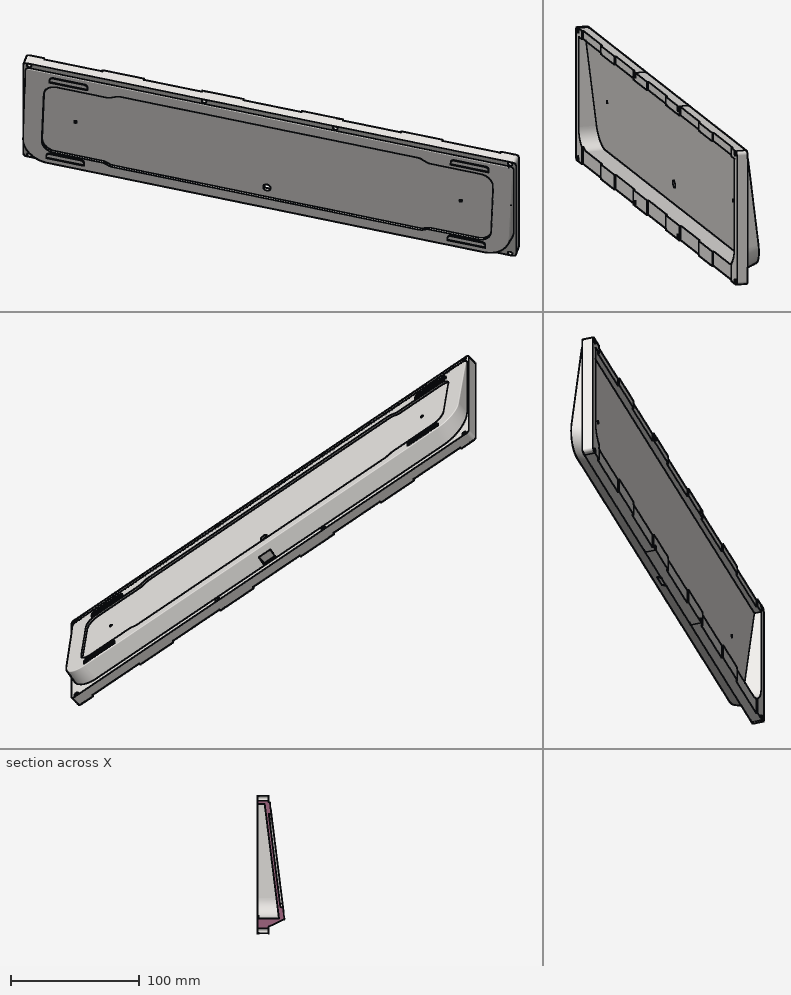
import cadquery as cq
import math

LENGTH = 396.5
DEPTH = 21.0
HEIGHT = 107.0

RIM_DEPTH = 8.7
RIM_CORNER_RADIUS = 2.8

BODY_SIDE_INSET = 1.8
BODY_TOP_INSET = 5.0
BODY_BOTTOM_INSET = 5.0
BODY_TOP_RADIUS = 3.5
BODY_BOTTOM_RADIUS = 23.5
SIDE_DRAFT = 0.8
BOTTOM_DRAFT = 6.0
FACE_SLOPE = 0.125
FACE_EDGE_RADIUS = 0.8

CAVITY_INSET = 6.7
CAVITY_BOTTOM_INSET = 12.0
CAVITY_RADIUS = 16.0
FLOOR_THICKNESS = 2.5

RECESS_DEPTH = 2.0
RECESS_HALF_LENGTH = 180.7
RECESS_END_TOP = 35.5
RECESS_END_BOTTOM = -30.5
RECESS_TOP_STEP = 3.5
RECESS_BOTTOM_STEP = 2.5
RECESS_TOP_STEP_X = 125.0
RECESS_BOTTOM_STEP_X = 127.5
RECESS_RADIUS = 10.5
RECESS_STEP_RADIUS = 8.0

FOOT_LENGTH = 30.5
FOOT_HEIGHT = 4.8
FOOT_RADIUS = 2.8
FOOT_DEPTH = 0.8
FOOT_CENTRE_X = 161.5
FOOT_CENTRES_Z = (41.2, -35.3)

SCREW_DIAMETER = 3.7
SCREW_EDGE_Z = 2.18
SCREW_EDGE_X = 4.8
SCREW_INNER_X = 52.7

CENTRE_HOLE_DIAMETER = 6.0
CENTRE_HOLE_Z = -23.8
PIN_HOLE_DIAMETER = 2.05
PIN_HOLE_X = 155.0
PIN_HOLE_Z = 2.8

SLOT_LENGTH = 11.5
SLOT_HEIGHT = 2.8
SLOT_CENTRE_Z = -46.5

GAP_PITCH = 80.0
GAP_LENGTH = 46.8
GAP_DEPTH = 1.0
GAPS_PER_SIDE = 2

HALF_LENGTH = LENGTH / 2
HALF_HEIGHT = HEIGHT / 2
BODY_TOP = HALF_HEIGHT - BODY_TOP_INSET
BODY_BOTTOM = BODY_BOTTOM_INSET - HALF_HEIGHT
NOSE_Z = BODY_BOTTOM + BOTTOM_DRAFT
FACE_STRETCH = math.hypot(1, FACE_SLOPE)

FACE_TILT = math.atan(FACE_SLOPE)
BOTTOM_TILT = math.atan2(DEPTH - RIM_DEPTH, BOTTOM_DRAFT)
EDGE_SETBACK = FACE_EDGE_RADIUS * math.tan((FACE_TILT + BOTTOM_TILT) / 2)
NOSE_DEPTH = DEPTH + EDGE_SETBACK * math.sin(FACE_TILT) - FACE_EDGE_RADIUS * (1 - math.cos(FACE_TILT))


def facing_front(y):
    """Workplane at the given Y, with local axes along X and Z and its normal along -Y."""
    return cq.Workplane("XZ", origin=(0, y, 0))


def behind_face(offset):
    """Everything behind the sloped face moved inward by the given distance."""
    def face_y(z):
        return -NOSE_DEPTH + FACE_SLOPE * (z - NOSE_Z) + offset * FACE_STRETCH

    corners = [
        (face_y(-HEIGHT), -HEIGHT),
        (face_y(HEIGHT), HEIGHT),
        (HEIGHT, HEIGHT),
        (HEIGHT, -HEIGHT),
    ]
    return cq.Workplane("YZ").polyline(corners).close().extrude(HALF_LENGTH, both=True)


def from_face(cutter, depth):
    """The part of a cutter that reaches the given depth below the sloped face."""
    return cutter.cut(behind_face(depth))


def body_outline(plane, half_length, top, bottom, bottom_radius):
    """Rectangle with small round top corners and large round bottom corners."""
    corner = math.sqrt(0.5)
    small_cut = BODY_TOP_RADIUS * (1 - corner)
    large_cut = bottom_radius * (1 - corner)
    return (
        plane.moveTo(BODY_TOP_RADIUS - half_length, top)
        .lineTo(half_length - BODY_TOP_RADIUS, top)
        .threePointArc((half_length - small_cut, top - small_cut), (half_length, top - BODY_TOP_RADIUS))
        .lineTo(half_length, bottom + bottom_radius)
        .threePointArc((half_length - large_cut, bottom + large_cut), (half_length - bottom_radius, bottom))
        .lineTo(bottom_radius - half_length, bottom)
        .threePointArc((large_cut - half_length, bottom + large_cut), (-half_length, bottom + bottom_radius))
        .lineTo(-half_length, top - BODY_TOP_RADIUS)
        .threePointArc((small_cut - half_length, top - small_cut), (BODY_TOP_RADIUS - half_length, top))
        .close()
    )


def make_rim():
    rim = facing_front(0).rect(LENGTH, HEIGHT).extrude(RIM_DEPTH)
    return rim.edges("|Y").fillet(RIM_CORNER_RADIUS)


def make_body():
    base_half_length = HALF_LENGTH - BODY_SIDE_INSET
    base = body_outline(facing_front(-RIM_DEPTH), base_half_length, BODY_TOP, BODY_BOTTOM, BODY_BOTTOM_RADIUS)
    drafted = body_outline(
        base.workplane(offset=NOSE_DEPTH - RIM_DEPTH),
        base_half_length - SIDE_DRAFT,
        BODY_TOP - SIDE_DRAFT,
        NOSE_Z,
        BODY_BOTTOM_RADIUS - (SIDE_DRAFT + BOTTOM_DRAFT) / 2,
    )
    wedge = drafted.loft(ruled=True).intersect(behind_face(0))
    return wedge.faces("<Y").edges().fillet(FACE_EDGE_RADIUS)


def make_cavity():
    height = HEIGHT - CAVITY_INSET - CAVITY_BOTTOM_INSET
    centre_z = (CAVITY_BOTTOM_INSET - CAVITY_INSET) / 2
    block = facing_front(0).center(0, centre_z).rect(LENGTH - 2 * CAVITY_INSET, height).extrude(DEPTH)
    block = block.edges("|Y and <Z").fillet(CAVITY_RADIUS)
    return block.intersect(behind_face(RECESS_DEPTH + FLOOR_THICKNESS))


def make_recess():
    middle_top = RECESS_END_TOP + RECESS_TOP_STEP
    middle_bottom = RECESS_END_BOTTOM - RECESS_BOTTOM_STEP
    right_half = [
        (RECESS_TOP_STEP_X - RECESS_TOP_STEP, middle_top),
        (RECESS_TOP_STEP_X + RECESS_TOP_STEP, RECESS_END_TOP),
        (RECESS_HALF_LENGTH, RECESS_END_TOP),
        (RECESS_HALF_LENGTH, RECESS_END_BOTTOM),
        (RECESS_BOTTOM_STEP_X + RECESS_BOTTOM_STEP, RECESS_END_BOTTOM),
        (RECESS_BOTTOM_STEP_X - RECESS_BOTTOM_STEP, middle_bottom),
    ]
    left_half = [(-x, z) for x, z in reversed(right_half)]
    panel = facing_front(0).polyline(right_half + left_half).close().extrude(2 * DEPTH)
    steps = panel.edges("|Y").edges("not(>X or <X)")
    panel = steps.fillet(RECESS_STEP_RADIUS)
    panel = panel.edges("|Y and (>X or <X)").fillet(RECESS_RADIUS)
    return from_face(panel, RECESS_DEPTH)


def make_foot_pockets():
    centres = [(side * FOOT_CENTRE_X, z) for side in (-1, 1) for z in FOOT_CENTRES_Z]
    pockets = facing_front(0).pushPoints(centres).rect(FOOT_LENGTH, FOOT_HEIGHT).extrude(2 * DEPTH)
    rounded = cq.Workplane()
    for pocket in pockets.solids().vals():
        rounded = rounded.add(cq.Workplane(pocket).faces(">Z").edges("|Y").fillet(FOOT_RADIUS))
    return from_face(rounded.combine(), FOOT_DEPTH)


def make_screw_holes():
    outer_x = HALF_LENGTH - SCREW_EDGE_X
    edge_z = HALF_HEIGHT - SCREW_EDGE_Z
    centres = [(x, z) for x in (-outer_x, -SCREW_INNER_X, SCREW_INNER_X, outer_x) for z in (-edge_z, edge_z)]
    return facing_front(0).pushPoints(centres).circle(SCREW_DIAMETER / 2).extrude(RIM_DEPTH)


def make_floor_holes():
    centre_hole = facing_front(0).center(0, CENTRE_HOLE_Z).circle(CENTRE_HOLE_DIAMETER / 2).extrude(DEPTH)
    pin_centres = [(-PIN_HOLE_X, PIN_HOLE_Z), (PIN_HOLE_X, PIN_HOLE_Z)]
    pin_holes = facing_front(0).pushPoints(pin_centres).circle(PIN_HOLE_DIAMETER / 2).extrude(DEPTH)
    return centre_hole.union(pin_holes)


def make_bottom_slot():
    return facing_front(-RIM_DEPTH).center(0, SLOT_CENTRE_Z).rect(SLOT_LENGTH, SLOT_HEIGHT).extrude(DEPTH)


def make_back_gaps():
    centres = [(i * GAP_PITCH, 0) for i in range(-GAPS_PER_SIDE, GAPS_PER_SIDE + 1)]
    return facing_front(0).pushPoints(centres).rect(GAP_LENGTH, HEIGHT).extrude(GAP_DEPTH)


result = make_rim().union(make_body())
cutters = (
    make_cavity(),
    make_recess(),
    make_foot_pockets(),
    make_screw_holes(),
    make_floor_holes(),
    make_bottom_slot(),
    make_back_gaps(),
)
for cutter in cutters:
    result = result.cut(cutter)